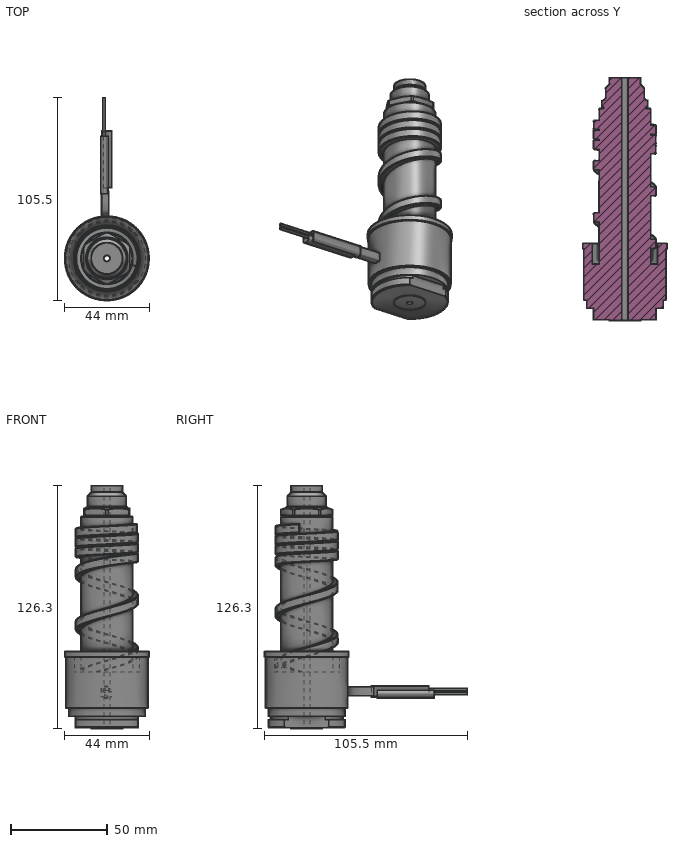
import cadquery as cq
import math

TOTAL_HEIGHT = 126.3
BORE_RADIUS = 1.5

BOSS_RADIUS = 8.2
BOSS_HEIGHT = 0.4
FOOT_RADIUS = 20.0
FOOT_TOP = 4.7
FOOT_CHAMFER = 0.5
GROOVE_RADIUS = 19.0
GROOVE_TOP = 6.5
FOOT_ACROSS_FLATS = 32.6

CUP_RADIUS = 21.5
CUP_BOTTOM = 10.6
CUP_FLOOR = 29.5
CUP_TOP = 40.3
CUP_BORE_RADIUS = 16.9
RIM_RADIUS = 22.0
RIM_HEIGHT = 3.3
CUP_CHAMFER = 0.4

BARREL_RADIUS = 13.5
BARREL_TOP = 110.3
BARREL_CHAMFER = 0.4
NECK_RADIUS = 11.0
NOSE_RADIUS = 10.1
NOSE_BOTTOM = 115.5
NOSE_TOP = 120.9
RELIEF_RADIUS = 8.1
RELIEF_TOP = 123.1
TIP_RADIUS = BOSS_RADIUS
CONE_TOP = NOSE_TOP + NOSE_RADIUS - TIP_RADIUS

NUT_ACROSS_FLATS = 24.0
NUT_BOTTOM = 110.9
NUT_TOP = 114.7
NUT_CORNER_RADIUS = BARREL_RADIUS
NUT_CONE_DROP = 0.9

COIL_RADIUS = 16.3
COIL_EMBED = 0.6
COIL_HEIGHT = 4.9
COIL_CHAMFER = 0.5
COIL_START_ANGLE = 180.0
COIL_START_BOTTOM = 24.0
LOOSE_PITCH = 27.2
LOOSE_SWEEP = 753.0
BLEND_SWEEP = 118.0
TIGHT_PITCH = 5.12
TIGHT_SWEEP = 1094.0
COIL_STEP = 10.0

LEAD_X = -0.9
LEAD_Z = 19.5
LEAD_WIDTH = 3.9
LEAD_HEIGHT = 4.9
LEAD_CORNER = 0.44
LEAD_START = CUP_BORE_RADIUS
LEAD_OVERLAP = 1.3
SLEEVE_Z = 19.3
SLEEVE_X = -1.3
SLEEVE_WIDTH = 3.9
SLEEVE_HEIGHT = 5.9
SLEEVE_CORNER = 1.0
SLEEVE_START = 33.6
SLEEVE_LENGTH = 29.9
LOWER_SLEEVE_X = 0.0
LOWER_SLEEVE_Z = 17.9
LOWER_SLEEVE_WIDTH = 5.3
LOWER_SLEEVE_HEIGHT = 4.2
LOWER_SLEEVE_START = 36.8
LOWER_SLEEVE_LENGTH = 29.4
WIRE_RADIUS = 0.7
WIRE_X = -1.5
WIRE_HEIGHTS = (20.3, 18.3)
WIRE_START = 56.8
WIRE_END = 83.5


def make_turned_body():
    """Base, cup, barrel, neck, nose and tip as one revolved profile."""
    rim_bottom = CUP_TOP - RIM_HEIGHT
    profile = [
        (BORE_RADIUS, 0),
        (BOSS_RADIUS, 0),
        (BOSS_RADIUS, BOSS_HEIGHT),
        (FOOT_RADIUS - FOOT_CHAMFER, BOSS_HEIGHT),
        (FOOT_RADIUS, BOSS_HEIGHT + FOOT_CHAMFER),
        (FOOT_RADIUS, FOOT_TOP),
        (GROOVE_RADIUS, FOOT_TOP),
        (GROOVE_RADIUS, GROOVE_TOP),
        (FOOT_RADIUS, GROOVE_TOP),
        (FOOT_RADIUS, CUP_BOTTOM),
        (CUP_RADIUS - CUP_CHAMFER, CUP_BOTTOM),
        (CUP_RADIUS, CUP_BOTTOM + CUP_CHAMFER),
        (CUP_RADIUS, rim_bottom),
        (RIM_RADIUS, rim_bottom + CUP_CHAMFER),
        (RIM_RADIUS, CUP_TOP - CUP_CHAMFER),
        (RIM_RADIUS - CUP_CHAMFER, CUP_TOP),
        (CUP_BORE_RADIUS + CUP_CHAMFER, CUP_TOP),
        (CUP_BORE_RADIUS, CUP_TOP - CUP_CHAMFER),
        (CUP_BORE_RADIUS, CUP_FLOOR),
        (BARREL_RADIUS, CUP_FLOOR),
        (BARREL_RADIUS, BARREL_TOP - BARREL_CHAMFER),
        (BARREL_RADIUS - BARREL_CHAMFER, BARREL_TOP),
        (NECK_RADIUS, BARREL_TOP),
        (NECK_RADIUS, NUT_TOP),
        (NOSE_RADIUS, NOSE_BOTTOM),
        (NOSE_RADIUS, NOSE_TOP),
        (TIP_RADIUS, CONE_TOP),
        (RELIEF_RADIUS, CONE_TOP),
        (RELIEF_RADIUS, RELIEF_TOP),
        (TIP_RADIUS, RELIEF_TOP),
        (TIP_RADIUS, TOTAL_HEIGHT),
        (BORE_RADIUS, TOTAL_HEIGHT),
    ]
    return cq.Workplane("XZ").polyline(profile).close().revolve(360, (0, 0, 0), (0, 1, 0))


def cut_foot_flats(body):
    """Two wrench flats on the foot and groove, facing -X and +X."""
    blank_size = 3 * FOOT_RADIUS
    foot_blank = cq.Workplane("XY").rect(blank_size, blank_size).extrude(GROOVE_TOP)
    between_flats = cq.Workplane("XY").rect(FOOT_ACROSS_FLATS, blank_size).extrude(GROOVE_TOP)
    return body.cut(foot_blank.cut(between_flats))


def make_nut():
    """Hexagon with flats facing -X and +X, its corners turned to a cone and cylinder."""
    across_corners = NUT_ACROSS_FLATS / math.cos(math.pi / 6)
    hexagon = (
        cq.Workplane("XY", origin=(0, 0, NUT_BOTTOM))
        .transformed(rotate=(0, 0, 30))
        .polygon(6, across_corners)
        .extrude(NUT_TOP - NUT_BOTTOM)
    )
    envelope = [
        (BORE_RADIUS, NUT_BOTTOM),
        (NUT_CORNER_RADIUS, NUT_BOTTOM),
        (NUT_CORNER_RADIUS, NUT_TOP - NUT_CONE_DROP),
        (NECK_RADIUS, NUT_TOP),
        (BORE_RADIUS, NUT_TOP),
    ]
    turned = cq.Workplane("XZ").polyline(envelope).close().revolve(360, (0, 0, 0), (0, 1, 0))
    return hexagon.intersect(turned)


def coil_rise(sweep):
    """Height gained after turning through a sweep in degrees; the slope never jumps."""
    loose = min(sweep, LOOSE_SWEEP)
    blend = min(max(sweep - LOOSE_SWEEP, 0), BLEND_SWEEP)
    tight = max(sweep - LOOSE_SWEEP - BLEND_SWEEP, 0)
    blend_pitch = LOOSE_PITCH + (TIGHT_PITCH - LOOSE_PITCH) * blend / (2 * BLEND_SWEEP)
    return (loose * LOOSE_PITCH + blend * blend_pitch + tight * TIGHT_PITCH) / 360


def coil_point(radius, height, sweep):
    """Point on the coil for one corner of its section."""
    angle = math.radians(COIL_START_ANGLE + sweep)
    z = COIL_START_BOTTOM + height + coil_rise(sweep)
    return cq.Vector(radius * math.cos(angle), radius * math.sin(angle), z)


def make_coil():
    """Flat strip wound round the barrel, with chamfered outer edges."""
    inner = BARREL_RADIUS - COIL_EMBED
    shoulder = COIL_RADIUS - COIL_CHAMFER
    section = [
        (inner, 0),
        (shoulder, 0),
        (COIL_RADIUS, COIL_CHAMFER),
        (COIL_RADIUS, COIL_HEIGHT - COIL_CHAMFER),
        (shoulder, COIL_HEIGHT),
        (inner, COIL_HEIGHT),
    ]
    total_sweep = LOOSE_SWEEP + BLEND_SWEEP + TIGHT_SWEEP
    steps = math.ceil(total_sweep / COIL_STEP)
    sweeps = [total_sweep * i / steps for i in range(steps + 1)]
    corner_paths = [
        cq.Edge.makeSpline([coil_point(r, h, s) for s in sweeps], parameters=sweeps)
        for r, h in section
    ]
    next_paths = corner_paths[1:] + corner_paths[:1]
    faces = [cq.Face.makeRuledSurface(a, b) for a, b in zip(corner_paths, next_paths)]
    for sweep in (0, total_sweep):
        outline = [coil_point(r, h, sweep) for r, h in section]
        faces.append(cq.Face.makeFromWires(cq.Wire.makePolygon(outline, close=True)))
    return cq.Workplane(cq.Solid.makeSolid(cq.Shell.makeShell(faces)))


def plane_facing_y(x, y, z):
    """Work plane at a point, with its normal along +Y."""
    return cq.Workplane(cq.Plane(origin=(x, y, z), xDir=(1, 0, 0), normal=(0, 1, 0)))


def make_lead():
    """Rounded lead leaving the cup wall and entering the main sleeve."""
    bar = plane_facing_y(LEAD_X, LEAD_START, LEAD_Z).rect(LEAD_WIDTH, LEAD_HEIGHT)
    return bar.extrude(SLEEVE_START + LEAD_OVERLAP - LEAD_START).edges("|Y").fillet(LEAD_CORNER)


def make_sleeves():
    """Rounded main sleeve with a slot-shaped second sleeve set low beside it."""
    main = (
        plane_facing_y(SLEEVE_X, SLEEVE_START, SLEEVE_Z)
        .rect(SLEEVE_WIDTH, SLEEVE_HEIGHT)
        .extrude(SLEEVE_LENGTH)
        .edges("|Y")
        .fillet(SLEEVE_CORNER)
    )
    lower = (
        plane_facing_y(LOWER_SLEEVE_X, LOWER_SLEEVE_START, LOWER_SLEEVE_Z)
        .slot2D(LOWER_SLEEVE_WIDTH, LOWER_SLEEVE_HEIGHT)
        .extrude(LOWER_SLEEVE_LENGTH)
    )
    return main.union(lower)


def make_wire(z):
    """One straight wire out of the sleeves."""
    return plane_facing_y(WIRE_X, WIRE_START, z).circle(WIRE_RADIUS).extrude(WIRE_END - WIRE_START)


result = cut_foot_flats(make_turned_body())
result = result.union(make_nut()).union(make_coil())
result = result.union(make_lead()).union(make_sleeves())
for wire_height in WIRE_HEIGHTS:
    result = result.union(make_wire(wire_height))